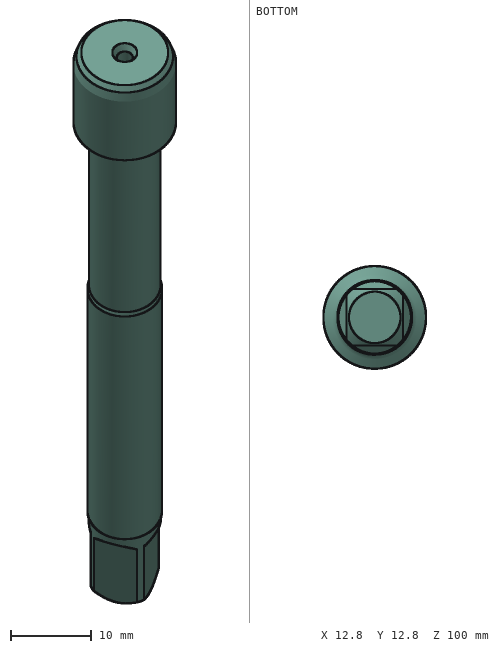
import cadquery as cq
import math

length = 100
head_bottom = 87
body_top = 55.6
body_bottom = 13.7
square_top = 11.3

head_r = 12.8 / 2
shank_r = 8.9 / 2
body_r = 9.3 / 2
neck_r = 9 / 2

rim_height = 0.7
rim_r = 6
top_face_r = 5.4
lead_in_height = 2

underside_angle = math.radians(30)
underside_fillet = 1.5

body_top_taper = 0.6
body_bottom_taper = 0.2
end_face_r = 3.2
end_chamfer_angle = math.radians(45)

square_side = 7
shoulder_angle = math.radians(45)

hole_r = 2 / 2
hole_mouth_r = 3.1 / 2
hole_depth = 3
mouth_angle = math.radians(30)
tip_angle = math.radians(60)


def turned_body():
    """Revolve the half outline of the shaft and head."""
    corner_z = head_bottom - (head_r - shank_r) * math.tan(underside_angle)
    turn = math.pi / 2 - underside_angle
    tangent = underside_fillet * math.tan(turn / 2)
    fillet_center_r = shank_r + underside_fillet
    fillet_bottom = corner_z - tangent
    end_chamfer_height = (neck_r - end_face_r) * math.tan(end_chamfer_angle)
    mid_r = fillet_center_r - underside_fillet * math.cos(turn / 2)
    mid_z = fillet_bottom + underside_fillet * math.sin(turn / 2)
    fillet_top_r = shank_r + tangent * math.cos(underside_angle)
    fillet_top = corner_z + tangent * math.sin(underside_angle)
    return (
        cq.Workplane("XZ")
        .lineTo(end_face_r, 0)
        .lineTo(neck_r, end_chamfer_height)
        .lineTo(neck_r, body_bottom - body_bottom_taper)
        .lineTo(body_r, body_bottom)
        .lineTo(body_r, body_top)
        .lineTo(shank_r, body_top + body_top_taper)
        .lineTo(shank_r, fillet_bottom)
        .threePointArc((mid_r, mid_z), (fillet_top_r, fillet_top))
        .lineTo(head_r, head_bottom)
        .lineTo(head_r, length - lead_in_height)
        .lineTo(rim_r, length - rim_height)
        .lineTo(top_face_r, length)
        .lineTo(0, length)
        .close()
        .revolve(360, (0, 0), (0, 1))
    )


def flat_cutter():
    """Remove one side of the square, ending in a sloped shoulder."""
    flat_x = square_side / 2
    outer_x = body_r
    shoulder_z = square_top + (outer_x - flat_x) * math.tan(shoulder_angle)
    return (
        cq.Workplane("XZ")
        .polyline([(flat_x, 0), (outer_x, 0), (outer_x, shoulder_z), (flat_x, square_top)])
        .close()
        .extrude(body_r, both=True)
    )


def center_hole():
    """Blind hole with a conical mouth and a drill-point bottom."""
    mouth_depth = (hole_mouth_r - hole_r) / math.tan(mouth_angle)
    tip_depth = hole_depth + hole_r / math.tan(tip_angle)
    return (
        cq.Workplane("XZ")
        .moveTo(0, length)
        .lineTo(hole_mouth_r, length)
        .lineTo(hole_r, length - mouth_depth)
        .lineTo(hole_r, length - hole_depth)
        .lineTo(0, length - tip_depth)
        .close()
        .revolve(360, (0, 0), (0, 1))
    )


result = turned_body().cut(center_hole())
for side in range(4):
    result = result.cut(flat_cutter().rotate((0, 0, 0), (0, 0, 1), side * 90))